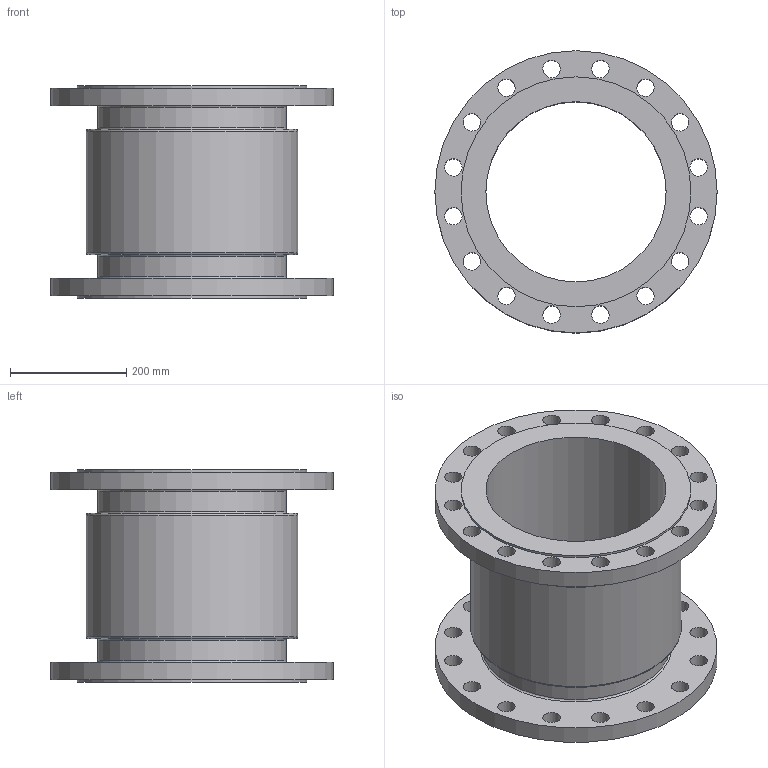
import cadquery as cq

overall_length = 365.0
neck_diameter = 323.9
neck_wall_thickness = 7.1
bore_diameter = neck_diameter - 2 * neck_wall_thickness
body_diameter = 363.0
body_length = 215.0

flange_diameter = 485.0
flange_thickness = 30.0
raised_face_diameter = 395.0
raised_face_height = 4.0

bolt_circle_diameter = 430.0
bolt_hole_diameter = 30.0
bolt_hole_count = 16

neck_fillet_radius = 3.0
body_edge_radius = 3.0

end_z = overall_length / 2
flange_outer_z = end_z - raised_face_height
flange_inner_z = flange_outer_z - flange_thickness
body_end_z = body_length / 2


def revolved_shell():
    """Flanged pipe with its thicker middle body, turned about the Z axis and symmetric about Z = 0."""
    upper_outline = [
        (bore_diameter / 2, end_z),
        (raised_face_diameter / 2, end_z),
        (raised_face_diameter / 2, flange_outer_z),
        (flange_diameter / 2, flange_outer_z),
        (flange_diameter / 2, flange_inner_z),
        (neck_diameter / 2, flange_inner_z),
        (neck_diameter / 2, body_end_z),
        (body_diameter / 2, body_end_z),
    ]
    lower_outline = [(radius, -z) for radius, z in reversed(upper_outline)]
    profile = [(-radius, z) for radius, z in upper_outline + lower_outline]
    return cq.Workplane("XZ").polyline(profile).close().revolve(360, (0, 0), (0, 1))


def circle_edges(workpiece, diameter, heights):
    """Circular edges of the given diameter, centred on the Z axis at the given heights."""
    tolerance = 0.01

    def matches(edge):
        if edge.geomType() != "CIRCLE" or abs(edge.radius() - diameter / 2) > tolerance:
            return False
        return any(abs(edge.Center().z - z) < tolerance for z in heights)

    return workpiece.newObject([edge for edge in workpiece.edges().vals() if matches(edge)])


def round_corners(workpiece):
    """Fillet both roots of each neck and the two outer rims of the body."""
    neck_root_heights = [flange_inner_z, body_end_z, -body_end_z, -flange_inner_z]
    body_rim_heights = [body_end_z, -body_end_z]
    workpiece = circle_edges(workpiece, neck_diameter, neck_root_heights).fillet(neck_fillet_radius)
    return circle_edges(workpiece, body_diameter, body_rim_heights).fillet(body_edge_radius)


def bolt_holes():
    """Cutters through both flanges; the hole pattern straddles the X and Y axes."""
    half_pitch_angle = 360.0 / bolt_hole_count / 2
    return (
        cq.Workplane("XY")
        .polarArray(bolt_circle_diameter / 2, half_pitch_angle, 360, bolt_hole_count)
        .circle(bolt_hole_diameter / 2)
        .extrude(end_z, both=True)
    )


result = round_corners(revolved_shell()).cut(bolt_holes())